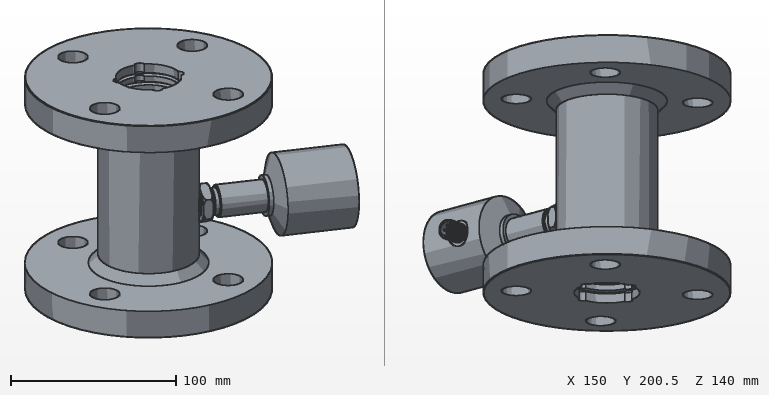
import cadquery as cq
import math

pipe_length = 140.0
pipe_diameter = 61.5
bore_diameter = 39.7
flange_diameter = 150.0
flange_thickness = 17.6
flange_chamfer = 0.5
weld_diameter = 73.0
weld_height = 5.8

bolt_hole_diameter = 18.0
bolt_circle_diameter = 110.0
bolt_angles = (45, 135, 220, 315)

notch_diameter = 6.0
notch_center_radius = 19.0
notch_count = 4
groove_diameter = 48.0
groove_width = 2.2
groove_pitch = 5.8
groove_count = 2
notch_depth = groove_count * groove_pitch

sensor_z = -17.0
sensor_end_y = 125.5
head_diameter = 51.0
cone_start_y = 80.6
collar_start_y = 75.4
collar_end_y = 72.5
collar_diameter = 25.0
stem_diameter = 20.0
stem_end_y = 42.7
stem_chamfer = 0.5
neck_diameter = 16.6
neck_end_y = 40.0
shank_end_y = 22.0
shank_diameter = 16.0
nut_outer_y = 37.9
nut_inner_y = 31.5
nut_corner_diameter = 25.5
nut_side_count = 6
nut_chamfer_height = 1.5

seat_diameter = 25.3
seat_floor_y = 28.5

connector_y = 97.6
connector_tip_x = -36.5
connector_seat_diameter = 16.0
connector_seat_x = -23.9
connector_root_x = -19.8
connector_root_diameter = 10.0
connector_thread_diameter = 12.0
connector_tip_length = 1.2
socket_diameter = 8.5
socket_depth = 5.0
socket_floor_x = connector_tip_x + socket_depth

pin_diameter = 1.0
pin_length = 4.0
pin_socket_depth = 2.0
pin_start_x = socket_floor_x + pin_socket_depth
pin_circle_radius = 2.5
outer_pin_count = 4

thread_pitch = 1.0
thread_depth = 0.5


def y_cylinder(diameter, start_y, end_y):
    """Cylinder on the sensor axis from start_y to end_y."""
    plane = cq.Plane(origin=(0, start_y, sensor_z), xDir=(1, 0, 0), normal=(0, 1, 0))
    return cq.Workplane(plane).circle(diameter / 2).extrude(end_y - start_y)


def connector_plane(x):
    """Plane at x facing -X, centred on the connector axis."""
    return cq.Plane(origin=(x, connector_y, sensor_z), xDir=(0, 1, 0), normal=(-1, 0, 0))


def x_cylinder(diameter, start_x, end_x):
    """Cylinder on the connector axis from start_x out to end_x."""
    return cq.Workplane(connector_plane(start_x)).circle(diameter / 2).extrude(start_x - end_x)


def thread_outline(crest_radius, start, end):
    """Zigzag of (radius, distance) points for a thread from start to end."""
    count = int(abs(end - start) / thread_pitch)
    step = (end - start) / count
    points = [(crest_radius - thread_depth, start)]
    for turn in range(count):
        points.append((crest_radius, start + (turn + 0.5) * step))
        points.append((crest_radius - thread_depth, start + (turn + 1) * step))
    return points


def make_flange(direction):
    """Flange and conical weld at the end of the pipe on the given side (1 up, -1 down)."""
    end_z = direction * pipe_length / 2
    inner_z = end_z - direction * flange_thickness
    weld_z = inner_z - direction * weld_height
    outline = [
        (0, weld_z),
        (pipe_diameter / 2, weld_z),
        (weld_diameter / 2, inner_z),
        (flange_diameter / 2, inner_z),
        (flange_diameter / 2, end_z - direction * flange_chamfer),
        (flange_diameter / 2 - flange_chamfer, end_z),
        (0, end_z),
    ]
    return cq.Workplane("XZ").polyline(outline).close().revolve(360, (0, 0), (0, 1))


def make_bayonet_seat(direction):
    """Space of the axial notches and ring grooves in one end of the bore."""
    end_z = direction * pipe_length / 2
    seat = (
        cq.Workplane("XY", origin=(0, 0, end_z))
        .polarArray(notch_center_radius, 0, 360, notch_count)
        .circle(notch_diameter / 2)
        .extrude(-direction * notch_depth)
    )
    for index in range(groove_count):
        groove_z = end_z - direction * (index + 1) * groove_pitch
        groove = cq.Workplane("XY", origin=(0, 0, groove_z)).circle(groove_diameter / 2)
        seat = seat.union(groove.extrude(-direction * groove_width))
    return seat


def make_flanged_pipe():
    pipe = cq.Workplane("XY").circle(pipe_diameter / 2).extrude(pipe_length / 2 - flange_thickness, both=True)
    for direction in (1, -1):
        pipe = pipe.union(make_flange(direction))
    pipe = pipe.cut(cq.Workplane("XY").circle(bore_diameter / 2).extrude(pipe_length, both=True))
    for direction in (1, -1):
        pipe = pipe.cut(make_bayonet_seat(direction))

    for angle in bolt_angles:
        x = bolt_circle_diameter / 2 * math.cos(math.radians(angle))
        y = bolt_circle_diameter / 2 * math.sin(math.radians(angle))
        hole = cq.Workplane("XY").center(x, y).circle(bolt_hole_diameter / 2).extrude(pipe_length, both=True)
        pipe = pipe.cut(hole)

    pipe = pipe.cut(y_cylinder(seat_diameter, seat_floor_y, pipe_diameter))
    return pipe.cut(y_cylinder(shank_diameter, shank_end_y, seat_floor_y))


def make_nut():
    """Hexagon with corners up and down, both ends chamfered by cones."""
    plane = cq.Plane(origin=(0, nut_inner_y, sensor_z), xDir=(0, 0, 1), normal=(0, 1, 0))
    height = nut_outer_y - nut_inner_y
    hexagon = cq.Workplane(plane).polygon(nut_side_count, nut_corner_diameter).extrude(height)
    blank = y_cylinder(nut_corner_diameter, nut_inner_y, nut_outer_y).edges().chamfer(nut_chamfer_height)
    return hexagon.intersect(blank)


def make_sensor():
    """Head, cone, collar, stem, neck, threaded shank and nut."""
    thread = thread_outline(shank_diameter / 2, neck_end_y, seat_floor_y)
    outline = [
        (0, sensor_end_y),
        (head_diameter / 2, sensor_end_y),
        (head_diameter / 2, cone_start_y),
        (collar_diameter / 2, collar_start_y),
        (collar_diameter / 2, collar_end_y),
        (stem_diameter / 2, collar_end_y),
        (stem_diameter / 2, stem_end_y + stem_chamfer),
        (stem_diameter / 2 - stem_chamfer, stem_end_y),
        (neck_diameter / 2, stem_end_y),
        (neck_diameter / 2, neck_end_y),
        *thread,
        (shank_diameter / 2, seat_floor_y),
        (shank_diameter / 2, shank_end_y),
        (0, shank_end_y),
    ]
    axis_plane = cq.Workplane("XY", origin=(0, 0, sensor_z))
    sensor = axis_plane.polyline(outline).close().revolve(360, (0, 0), (0, 1))
    sensor = sensor.union(make_nut())

    sensor = sensor.cut(x_cylinder(connector_seat_diameter, connector_seat_x, connector_tip_x))
    return sensor.cut(x_cylinder(connector_root_diameter, connector_root_x, connector_seat_x))


def pin_points():
    """Pin centres on the socket floor."""
    points = [(0, 0)]
    for index in range(outer_pin_count):
        angle = math.radians(360 / outer_pin_count * index)
        points.append((pin_circle_radius * math.cos(angle), pin_circle_radius * math.sin(angle)))
    return points


def make_pin(point):
    pin = cq.Workplane(connector_plane(pin_start_x)).center(*point)
    return pin.circle(pin_diameter / 2).extrude(pin_socket_depth + pin_length)


def make_connector(pins):
    """Threaded plug with a smooth tip, an open socket and a hole for each pin."""
    thread_end_x = connector_tip_x + connector_tip_length
    thread = thread_outline(connector_thread_diameter / 2, connector_seat_x, thread_end_x)
    outline = [
        (connector_root_x, 0),
        (connector_root_x, connector_root_diameter / 2),
        (connector_seat_x, connector_root_diameter / 2),
        *[(x, radius) for radius, x in thread],
        (connector_tip_x, connector_thread_diameter / 2 - thread_depth),
        (connector_tip_x, 0),
    ]
    axis_plane = cq.Workplane("XY", origin=(0, connector_y, sensor_z))
    connector = axis_plane.polyline(outline).close().revolve(360, (0, 0), (1, 0))
    connector = connector.cut(x_cylinder(socket_diameter, socket_floor_x, connector_tip_x))
    for pin in pins:
        connector = connector.cut(pin)
    return connector


flanged_pipe = make_flanged_pipe()
sensor = make_sensor()
pins = [make_pin(point) for point in pin_points()]
connector = make_connector(pins)

result = cq.Compound.makeCompound([
    flanged_pipe.val(),
    sensor.val(),
    connector.val(),
    *[pin.val() for pin in pins],
])